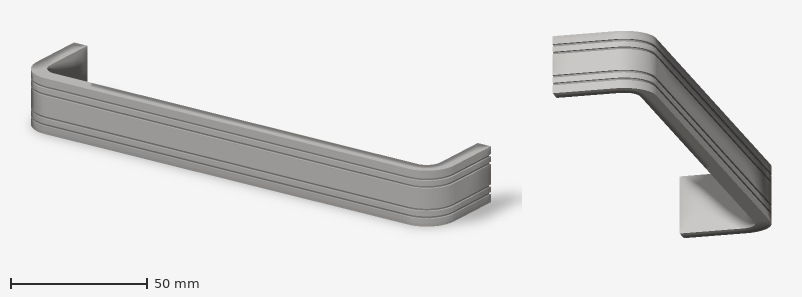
import cadquery as cq

length = 186.0
depth = 36.0
height = 22.0
thickness = 6.0
outer_radius = 12.0
inner_radius = outer_radius - thickness

groove_depth = 1.0
groove_width = 1.0
groove_offsets = (4.5, 7.5)


def rounded_block(inset, corner_radius, block_height):
    """Block set in from the front and sides, flush at the back, with rounded front corners."""
    return (
        cq.Workplane("XY")
        .box(length - 2 * inset, depth - inset, block_height)
        .translate((0, inset / 2, 0))
        .edges("|Z and <Y")
        .fillet(corner_radius)
    )


def groove(offset):
    """Ring that cuts a groove of constant depth around the outer face."""
    band = cq.Workplane("XY").box(length, depth, groove_width)
    core = rounded_block(groove_depth, outer_radius - groove_depth, groove_width)
    return band.cut(core).translate((0, 0, offset))


handle = rounded_block(0, outer_radius, height)
handle = handle.cut(rounded_block(thickness, inner_radius, height))

for offset in groove_offsets:
    handle = handle.cut(groove(offset))
    handle = handle.cut(groove(-offset))

result = handle